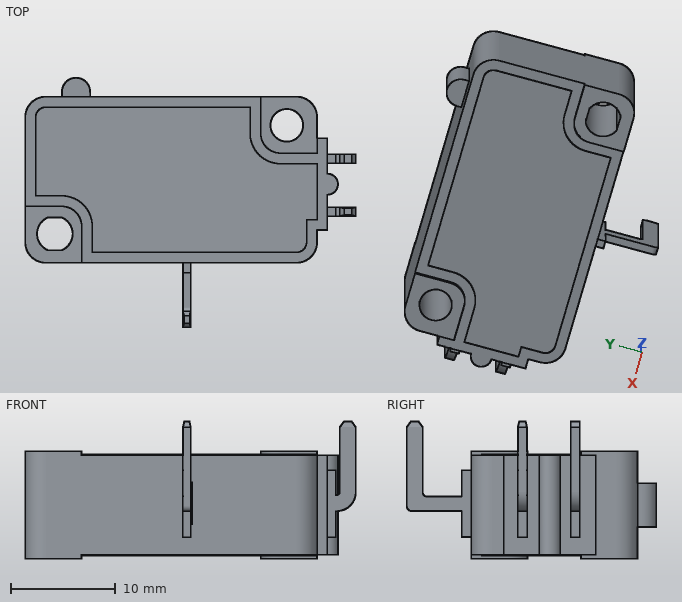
import cadquery as cq

BODY_LENGTH = 27.9
BODY_WIDTH = 15.9
TOTAL_HEIGHT = 10.3
PAD_STEP = 0.38
PANEL_STEP = 0.1
CORNER_RADIUS = 2.0
RIM_WIDTH = 1.0
RIM_HEIGHT = TOTAL_HEIGHT - 2 * PAD_STEP

PAD_SIZE = 5.4
PAD_RADIUS = 1.9
HOLE_DIAMETER = 3.1
HOLE_INSET_X = 2.9
HOLE_INSET_Y = 2.75
FLAT_HOLE_DIAMETER = 3.38
FLAT_HOLE_INSET_X = 2.85
FLAT_HOLE_INSET_Y = 2.78
PANEL_NOTCH_HEIGHT = 4.1

BLOCK_DEPTH = 0.98
BLOCK_START_Y = 3.13
BLOCK_WIDTH = 8.8
KEY_RADIUS = 1.0
BLOCK_FACE = BODY_LENGTH + BLOCK_DEPTH

PLUNGER_X = 4.87
PLUNGER_RADIUS = 1.35
PLUNGER_TIP_Y = 17.7
PLUNGER_BOTTOM = 3.03
PLUNGER_HEIGHT = 4.2

OVERALL_LENGTH = 31.6
PIN_TOP = 13.15
LEG_WIDTH = 1.55
FOOT_BOTTOM = 2.1
FOOT_HEIGHT = 6.38
ARM_BOTTOM = 4.55
TIP_HEIGHT = 0.57
TIP_TAPER = 0.4
TIP_THIN_TAPER = 0.13
EMBED = 0.32

SIDE_PIN_THICKNESS = 0.9
SIDE_PIN_ARM_HEIGHT = 1.55
SIDE_PIN_FOOT_DEPTH = 0.8
SIDE_PIN_INNER_RADIUS = 0.3
SIDE_PIN_OUTER_RADIUS = SIDE_PIN_INNER_RADIUS + LEG_WIDTH
NC_PIN_Y = 9.95
NO_PIN_Y = 4.9

COMMON_PIN_X = 15.45
COMMON_PIN_THICKNESS = 0.75
COMMON_PIN_REACH = 6.15
COMMON_PIN_ARM_HEIGHT = 1.42
COMMON_PIN_FOOT_DEPTH = 0.92
COMMON_PIN_INNER_RADIUS = 0.38
COMMON_PIN_OUTER_RADIUS = 0.5

SLIT_WIDTH = 0.13
SLIT_BOTTOM = 3.3
SLIT_TOP = 7.33
SLIT_DEPTH = EMBED


def box(x, y, z, length, width, height):
    """Box from its lowest corner and its sizes."""
    return cq.Workplane("XY").box(length, width, height, centered=False).translate((x, y, z))


def rounded_slab(inset, bottom, height):
    """Slab of the housing footprint, shrunk by inset, with rounded vertical edges."""
    length = BODY_LENGTH - 2 * inset
    width = BODY_WIDTH - 2 * inset
    slab = box(inset, inset, bottom, length, width, height)
    return slab.edges("|Z").fillet(CORNER_RADIUS - inset)


def corner_regions(margin):
    """Full-height blocks over the two pad corners, grown by margin towards the middle."""
    size = PAD_SIZE + margin
    low = box(0, 0, 0, size, size, TOTAL_HEIGHT)
    low = low.edges("|Z and >X and >Y").fillet(PAD_RADIUS + margin)
    high = box(BODY_LENGTH - size, BODY_WIDTH - size, 0, size, size, TOTAL_HEIGHT)
    high = high.edges("|Z and <X and <Y").fillet(PAD_RADIUS + margin)
    return low.union(high)


def make_panel():
    """Label panels on both broad faces, as one slab kept clear of the pad corners."""
    bottom = PAD_STEP - PANEL_STEP
    height = RIM_HEIGHT + 2 * PANEL_STEP
    panel = rounded_slab(RIM_WIDTH, bottom, height)
    extension = box(
        BODY_LENGTH / 2,
        PANEL_NOTCH_HEIGHT,
        bottom,
        BODY_LENGTH / 2,
        BODY_WIDTH - PAD_SIZE - PANEL_NOTCH_HEIGHT,
        height,
    )
    return panel.union(extension).cut(corner_regions(RIM_WIDTH))


def make_housing():
    pads = rounded_slab(0, 0, TOTAL_HEIGHT).intersect(corner_regions(0))
    housing = rounded_slab(0, PAD_STEP, RIM_HEIGHT).union(pads).union(make_panel())
    block = box(
        BODY_LENGTH - EMBED, BLOCK_START_Y, PAD_STEP, BLOCK_DEPTH + EMBED, BLOCK_WIDTH, RIM_HEIGHT
    )
    key = (
        cq.Workplane("XY", origin=(BLOCK_FACE, BLOCK_START_Y + BLOCK_WIDTH / 2, PAD_STEP))
        .circle(KEY_RADIUS)
        .extrude(RIM_HEIGHT)
    )
    return housing.union(block).union(key)


def make_hole_cutters():
    """Round hole at the far corner; the near one is larger, with flats facing +Y and -Y."""
    hole = (
        cq.Workplane("XY")
        .center(BODY_LENGTH - HOLE_INSET_X, BODY_WIDTH - HOLE_INSET_Y)
        .circle(HOLE_DIAMETER / 2)
        .extrude(TOTAL_HEIGHT)
    )
    near_center = cq.Workplane("XY").center(FLAT_HOLE_INSET_X, FLAT_HOLE_INSET_Y)
    flat_limits = near_center.rect(FLAT_HOLE_DIAMETER, HOLE_DIAMETER).extrude(TOTAL_HEIGHT)
    flat_hole = near_center.circle(FLAT_HOLE_DIAMETER / 2).extrude(TOTAL_HEIGHT).intersect(flat_limits)
    return hole.union(flat_hole)


def make_slit_cutter():
    foot_edge = COMMON_PIN_X + COMMON_PIN_THICKNESS / 2
    return box(foot_edge, 0, SLIT_BOTTOM, SLIT_WIDTH, SLIT_DEPTH, SLIT_TOP - SLIT_BOTTOM)


def make_plunger():
    center_y = PLUNGER_TIP_Y - PLUNGER_RADIUS
    root_y = BODY_WIDTH - EMBED
    return (
        cq.Workplane("XY", origin=(0, 0, PLUNGER_BOTTOM))
        .moveTo(PLUNGER_X - PLUNGER_RADIUS, root_y)
        .lineTo(PLUNGER_X - PLUNGER_RADIUS, center_y)
        .threePointArc((PLUNGER_X, PLUNGER_TIP_Y), (PLUNGER_X + PLUNGER_RADIUS, center_y))
        .lineTo(PLUNGER_X + PLUNGER_RADIUS, root_y)
        .close()
        .extrude(PLUNGER_HEIGHT)
    )


def make_pin(reach, thickness, arm_height, foot_depth, inner_radius, outer_radius, thin_taper):
    """Terminal pointing along +X from a face at X = 0, centred on Y = 0."""
    leg_start = reach - LEG_WIDTH
    shoulder = PIN_TOP - TIP_HEIGHT
    arm_top = ARM_BOTTOM + arm_height
    foot = box(-EMBED, -thickness / 2, FOOT_BOTTOM, foot_depth + EMBED, thickness, FOOT_HEIGHT)
    bent_strip = (
        cq.Workplane("XZ", origin=(0, thickness / 2, 0))
        .moveTo(-EMBED, ARM_BOTTOM)
        .lineTo(reach - outer_radius, ARM_BOTTOM)
        .radiusArc((reach, ARM_BOTTOM + outer_radius), -outer_radius)
        .lineTo(reach, shoulder)
        .lineTo(leg_start, shoulder)
        .lineTo(leg_start, arm_top + inner_radius)
        .radiusArc((leg_start - inner_radius, arm_top), inner_radius)
        .lineTo(-EMBED, arm_top)
        .close()
        .extrude(thickness)
    )
    tip = (
        cq.Workplane("XY", origin=(reach - LEG_WIDTH / 2, 0, shoulder))
        .rect(LEG_WIDTH, thickness)
        .workplane(offset=TIP_HEIGHT)
        .rect(LEG_WIDTH - 2 * TIP_TAPER, thickness - 2 * thin_taper)
        .loft(ruled=True)
    )
    return foot.union(bent_strip).union(tip)


def make_side_pin(y, thin_taper):
    """Terminal standing on the +X face of the terminal block."""
    pin = make_pin(
        OVERALL_LENGTH - BLOCK_FACE,
        SIDE_PIN_THICKNESS,
        SIDE_PIN_ARM_HEIGHT,
        SIDE_PIN_FOOT_DEPTH,
        SIDE_PIN_INNER_RADIUS,
        SIDE_PIN_OUTER_RADIUS,
        thin_taper,
    )
    return pin.translate((BLOCK_FACE, y, 0))


def make_common_pin():
    """Terminal standing on the -Y side of the housing."""
    pin = make_pin(
        COMMON_PIN_REACH,
        COMMON_PIN_THICKNESS,
        COMMON_PIN_ARM_HEIGHT,
        COMMON_PIN_FOOT_DEPTH,
        COMMON_PIN_INNER_RADIUS,
        COMMON_PIN_OUTER_RADIUS,
        TIP_THIN_TAPER,
    )
    return pin.rotate((0, 0, 0), (0, 0, 1), -90).translate((COMMON_PIN_X, 0, 0))


result = (
    make_housing()
    .cut(make_hole_cutters())
    .cut(make_slit_cutter())
    .union(make_plunger())
    .union(make_side_pin(NC_PIN_Y, 0))
    .union(make_side_pin(NO_PIN_Y, TIP_THIN_TAPER))
    .union(make_common_pin())
)